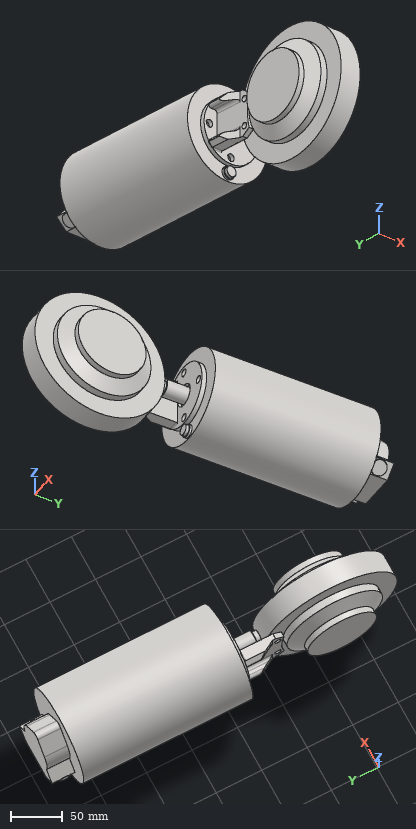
import cadquery as cq
import math


flange_radius = 73.0
flange_half_width = 12.5
liner_radius = 52.5
liner_half_width = 20.5
pipe_radius = 38.0
cone_half_width = 29.5
pipe_half_width = 36.0

actuator_radius = 52.0
actuator_front_y = 106.5
actuator_back_y = 292.5
collar_radius = 35.0
collar_front_y = 101.3
collar_hole_radius = 4.0
collar_hole_depth = 5.0
collar_hole_offset = 28.0
collar_recess_radius = 12.0
collar_recess_depth = 4.0

stem_radius = 9.0
stem_neck_radius = 7.0
stem_shoulder_y = 78.0

plug_z = -43.3
plug_washer_radius = 7.0
plug_washer_thickness = 2.5
plug_head_radius = 5.8
plug_length = 6.0

bracket_half_height = 25.5
bracket_plate_x = -18.3
bracket_rib_x = -29.3
bracket_slope_start_y = 85.7
bracket_slope_end_y = 67.4
bracket_end_radius = 57.0
bracket_corner_length = 9.3
bracket_corner_height = 6.2
bracket_tip_y = 54.5
bracket_root_fillet = 1.2
rib_inner_z = 17.1
rib_fillet = 3.5
rib_chamfer_width = 4.5
bracket_hole_y = 61.3
bracket_hole_z = 14.8
bracket_hole_radius = 3.3

head_back_y = 317.69
core_radius = 24.0
lobe_radius = 5.8
lobe_z = 27.8
leg_angle = 47.0
leg_length = 18.0
leg_corner_x = 34.0
leg_corner_z = -20.9
leg_width = 17.7
gland_radius = 8.2
gland_length = 2.6
gland_y = 303.5


def cylinder_y(radius, start_y, end_y, x=0.0, z=0.0):
    """Cylinder parallel to Y between two Y positions."""
    direction = cq.Vector(0, 1, 0)
    return cq.Workplane(cq.Solid.makeCylinder(radius, end_y - start_y, cq.Vector(x, start_y, z), direction))


def prism_y(sketch_points, start_y, end_y):
    """Closed polygon of (x, z) points extruded between two Y positions."""
    plane = cq.Workplane("XZ", origin=(0, end_y, 0))
    return plane.polyline(sketch_points).close().extrude(end_y - start_y)


def make_valve_body():
    """Flange disc with a stepped, conical liner and a pipe stub on each side."""
    half_profile = [
        (pipe_half_width, pipe_radius),
        (cone_half_width, pipe_radius),
        (liner_half_width, liner_radius),
        (flange_half_width, liner_radius),
        (flange_half_width, flange_radius),
    ]
    mirrored = [(-x, radius) for x, radius in reversed(half_profile)]
    outline = [(pipe_half_width, 0)] + half_profile + mirrored + [(-pipe_half_width, 0)]
    return cq.Workplane("XY").polyline(outline).close().revolve(360, (0, 0, 0), (1, 0, 0))


def make_actuator():
    """Cylinder with a front collar that has a stem recess and four blind holes."""
    body = cylinder_y(actuator_radius, actuator_front_y, actuator_back_y)
    collar = cylinder_y(collar_radius, collar_front_y, actuator_front_y)
    recess = cylinder_y(collar_recess_radius, collar_front_y, collar_front_y + collar_recess_depth)
    body = body.union(collar).cut(recess)
    hole_end_y = collar_front_y + collar_hole_depth
    for quarter in range(4):
        angle = math.radians(90 * quarter)
        x = collar_hole_offset * math.cos(angle)
        z = collar_hole_offset * math.sin(angle)
        body = body.cut(cylinder_y(collar_hole_radius, collar_front_y, hole_end_y, x, z))
    return body


def make_stem():
    """Stepped stem that runs from the collar into the flange."""
    shank = cylinder_y(stem_radius, stem_shoulder_y, actuator_front_y)
    neck = cylinder_y(stem_neck_radius, flange_radius - flange_half_width, stem_shoulder_y)
    return shank.union(neck)


def make_plug():
    """Vent plug: a washer under a smaller head."""
    washer_front_y = actuator_front_y - plug_washer_thickness
    washer = cylinder_y(plug_washer_radius, washer_front_y, actuator_front_y, z=plug_z)
    head = cylinder_y(plug_head_radius, actuator_front_y - plug_length, actuator_front_y, z=plug_z)
    return washer.union(head)


def make_bracket_plate():
    """Flat plate against the flange with a concave end, sloped corners and two holes."""
    thickness = -flange_half_width - bracket_plate_x
    shoulder_y = bracket_tip_y + bracket_corner_length
    corner_z = bracket_half_height - bracket_corner_height
    plane = cq.Workplane("YZ", origin=(bracket_plate_x, 0, 0))
    plate = (
        plane.moveTo(collar_front_y, bracket_half_height)
        .lineTo(shoulder_y, bracket_half_height)
        .lineTo(bracket_tip_y, corner_z)
        .threePointArc((bracket_end_radius, 0), (bracket_tip_y, -corner_z))
        .lineTo(shoulder_y, -bracket_half_height)
        .lineTo(collar_front_y, -bracket_half_height)
        .close()
        .extrude(thickness)
    )
    holes = (
        plane.pushPoints([(bracket_hole_y, bracket_hole_z), (bracket_hole_y, -bracket_hole_z)])
        .circle(bracket_hole_radius)
        .extrude(thickness)
    )
    return plate.cut(holes)


def make_bracket_rib():
    """Upper rib with a chamfered outer corner, round nose and filleted root, cut by a slope."""
    diagonal = rib_fillet * math.sqrt(0.5)
    nose_center = (bracket_rib_x + rib_fillet, rib_inner_z + rib_fillet)
    root_center = (bracket_plate_x - rib_fillet, rib_inner_z - rib_fillet)
    rib = (
        cq.Workplane("XZ", origin=(0, collar_front_y, 0))
        .moveTo(bracket_plate_x, root_center[1])
        .threePointArc(
            (root_center[0] + diagonal, root_center[1] + diagonal),
            (root_center[0], rib_inner_z),
        )
        .lineTo(nose_center[0], rib_inner_z)
        .threePointArc(
            (nose_center[0] - diagonal, nose_center[1] - diagonal),
            (bracket_rib_x, nose_center[1]),
        )
        .lineTo(bracket_rib_x + rib_chamfer_width, bracket_half_height)
        .lineTo(bracket_plate_x, bracket_half_height)
        .close()
        .extrude(collar_front_y - bracket_slope_end_y)
    )
    slope_cut = (
        cq.Workplane("XY")
        .polyline([
            (bracket_rib_x, bracket_slope_start_y),
            (bracket_plate_x, bracket_slope_end_y),
            (bracket_rib_x, bracket_slope_end_y),
        ])
        .close()
        .extrude(bracket_half_height)
    )
    return rib.cut(slope_cut)


def make_bracket_root():
    """Concave fillet between the upper edge of the bracket and the collar, trimmed to the collar rim."""
    front_y = collar_front_y - bracket_root_fillet
    top_z = bracket_half_height + bracket_root_fillet
    mid_offset = bracket_root_fillet * (1 - math.sqrt(0.5))
    start_x = bracket_rib_x + rib_chamfer_width
    fillet = (
        cq.Workplane("YZ", origin=(start_x, 0, 0))
        .moveTo(collar_front_y, bracket_half_height)
        .lineTo(front_y, bracket_half_height)
        .threePointArc(
            (collar_front_y - mid_offset, bracket_half_height + mid_offset),
            (collar_front_y, top_z),
        )
        .close()
        .extrude(-flange_half_width - start_x)
    )
    return fillet.intersect(cylinder_y(collar_radius, front_y, collar_front_y))


def make_bracket():
    """Plate with a rib along its upper edge and the mirror rib along its lower edge."""
    upper = make_bracket_rib().union(make_bracket_root())
    return make_bracket_plate().union(upper).union(upper.mirror("XY"))


def make_lobe():
    """Upper lobe whose flanks are tangent to both the core and the lobe tip."""
    normal_z = (core_radius - lobe_radius) / lobe_z
    normal_x = math.sqrt(1 - normal_z ** 2)
    core_x = core_radius * normal_x
    core_z = core_radius * normal_z
    tip_x = lobe_radius * normal_x
    tip_z = lobe_z + lobe_radius * normal_z
    return (
        cq.Workplane("XZ", origin=(0, head_back_y, 0))
        .moveTo(-core_x, core_z)
        .lineTo(-tip_x, tip_z)
        .threePointArc((0, lobe_z + lobe_radius), (tip_x, tip_z))
        .lineTo(core_x, core_z)
        .lineTo(0, 0)
        .close()
        .extrude(head_back_y - actuator_back_y)
    )


def make_legs():
    """Two slanted legs joined by a flat underside, each with a cable gland on its end."""
    along_x = math.cos(math.radians(leg_angle))
    along_z = math.sin(math.radians(leg_angle))
    foot_x = leg_corner_x - leg_width * along_z
    foot_z = leg_corner_z - leg_width * along_x
    shoulder_x = leg_corner_x - leg_length * along_x
    shoulder_z = leg_corner_z + leg_length * along_z
    right_side = [
        (shoulder_x, shoulder_z),
        (leg_corner_x, leg_corner_z),
        (foot_x, foot_z),
    ]
    left_side = [(-x, z) for x, z in reversed(right_side)]
    legs = prism_y(right_side + left_side, actuator_back_y, head_back_y)
    for side in (-1, 1):
        center = cq.Vector(side * (leg_corner_x + foot_x) / 2, gland_y, (leg_corner_z + foot_z) / 2)
        outward = cq.Vector(side * along_x, 0, -along_z)
        legs = legs.union(cq.Workplane(cq.Solid.makeCylinder(gland_radius, gland_length, center, outward)))
    return legs


def make_head():
    """Control head at the back of the actuator."""
    core = cylinder_y(core_radius, actuator_back_y, head_back_y)
    return core.union(make_lobe()).union(make_legs())


result = (
    make_actuator()
    .union(make_bracket())
    .union(make_valve_body())
    .union(make_stem())
    .union(make_plug())
    .union(make_head())
)